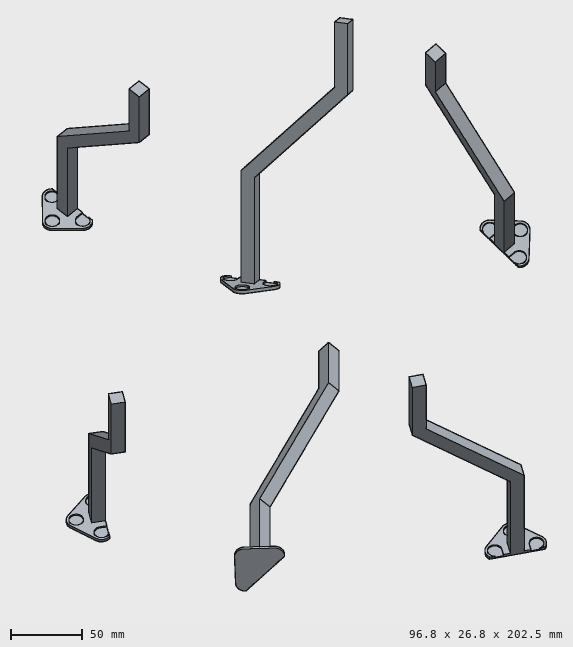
import cadquery as cq
import math

bar_width = 10.0
lower_length = 80.0
crank_offset = 70.0
upper_length = 50.0
crank_angle = math.radians(45)

plate_thickness = 2.5
pocket_spacing = 14.94
pocket_diameter = 10.2
pocket_depth = plate_thickness / 2
pocket_wall = 1.8

half_bar = bar_width / 2
back_y = half_bar
pocket_radius = pocket_diameter / 2
corner_radius = pocket_radius + pocket_wall

left_center = (-pocket_spacing, 0)
front_center = (0, -pocket_spacing)
right_center = (pocket_spacing, 0)


def make_bar():
    """Bar rising from the plate, with mitred bends at both ends of the sloped stretch."""
    lower_bend_z = plate_thickness + lower_length
    upper_bend_z = lower_bend_z + crank_offset / math.tan(crank_angle)
    top_z = upper_bend_z + upper_length
    miter_rise = half_bar * math.tan(crank_angle / 2)
    outline = [
        (-half_bar, plate_thickness),
        (half_bar, plate_thickness),
        (half_bar, lower_bend_z - miter_rise),
        (crank_offset + half_bar, upper_bend_z - miter_rise),
        (crank_offset + half_bar, top_z),
        (crank_offset - half_bar, top_z),
        (crank_offset - half_bar, upper_bend_z + miter_rise),
        (-half_bar, lower_bend_z + miter_rise),
    ]
    return cq.Workplane("XZ").polyline(outline).close().extrude(half_bar, both=True)


def make_plate():
    """Rounded triangle around the pocket centres, cut straight along the back of the bar."""
    diagonal = corner_radius * math.sqrt(0.5)
    back_reach = pocket_spacing + math.sqrt(corner_radius**2 - back_y**2)
    side_reach = pocket_spacing + corner_radius
    tangent_reach = pocket_spacing + diagonal
    return (
        cq.Workplane("XY")
        .moveTo(-back_reach, back_y)
        .threePointArc((-side_reach, 0), (-tangent_reach, -diagonal))
        .lineTo(-diagonal, -tangent_reach)
        .threePointArc((0, -side_reach), (diagonal, -tangent_reach))
        .lineTo(tangent_reach, -diagonal)
        .threePointArc((side_reach, 0), (back_reach, back_y))
        .close()
        .extrude(plate_thickness)
    )


def make_pockets():
    """Round pockets; the two side ones run out straight through the back edge next to the bar."""
    floor = cq.Workplane("XY").workplane(offset=plate_thickness - pocket_depth)
    pocket_centers = [left_center, front_center, right_center]
    pockets = floor.pushPoints(pocket_centers).circle(pocket_radius).extrude(pocket_depth)
    for side in (-1, 1):
        runout = (
            floor.center(side * (pocket_spacing - pocket_radius / 2), back_y / 2)
            .rect(pocket_radius, back_y)
            .extrude(pocket_depth)
        )
        pockets = pockets.union(runout)
    return pockets


result = make_plate().cut(make_pockets()).union(make_bar())